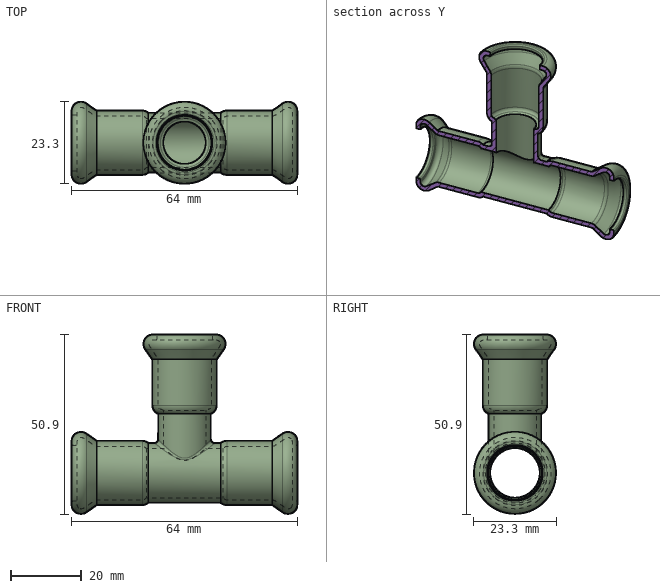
import cadquery as cq
import math

run_length = 64.0
branch_height = 39.2
run_tube_diameter = 17.0
run_bore_diameter = 14.0
branch_tube_diameter = 15.0
branch_bore_diameter = 12.0
junction_fillet = 1.0

socket_diameter = 18.3
socket_bore_diameter = 15.2
socket_depth = 20.0
bead_diameter = 23.3
bead_section_radius = 2.7
flare_depth = 7.1
groove_depth = 6.8
lip_bore_diameter = 15.8
lip_edge_fillet = 0.4
groove_fillet = 1.9
shoulder_radius = 2.7

socket_radius = socket_diameter / 2
socket_bore_radius = socket_bore_diameter / 2
lip_radius = lip_bore_diameter / 2
wall = socket_radius - socket_bore_radius
lip_thickness = wall

bead_center_radius = bead_diameter / 2 - bead_section_radius
bead_center_depth = bead_section_radius
groove_section_radius = bead_section_radius - wall


def tangent_normal_angle(section_radius, cone_end_radius, cone_end_depth):
    """Angle from the axis to the normal of a cone tangent to the bead round and ending at a point."""
    rise = cone_end_radius - bead_center_radius
    run = cone_end_depth - bead_center_depth
    return math.atan2(rise, run) + math.acos(section_radius / math.hypot(rise, run))


flare_normal = tangent_normal_angle(bead_section_radius, socket_radius, flare_depth)
groove_normal = tangent_normal_angle(groove_section_radius, socket_bore_radius, groove_depth)
groove_slope = math.pi / 2 - groove_normal

shoulder_center_radius = socket_radius - shoulder_radius
shoulder_inner_radius = shoulder_radius - wall


def round_point(center_radius, center_depth, section_radius, angle):
    """Point (radius, depth) on a section round; the angle turns from the depth axis outward."""
    return (
        center_radius + section_radius * math.sin(angle),
        center_depth + section_radius * math.cos(angle),
    )


def bead_point(section_radius, angle):
    """Point on the bead round or on the concentric groove round."""
    return round_point(bead_center_radius, bead_center_depth, section_radius, angle)


def bead_arc(section_radius, end_angle):
    """Middle and end of the bead round that starts at its mouth side."""
    mid_angle = (math.pi + end_angle) / 2
    return bead_point(section_radius, mid_angle), bead_point(section_radius, end_angle)


def shoulder_point(section_radius, angle):
    """Point on the outer or inner shoulder round."""
    return round_point(shoulder_center_radius, socket_depth, section_radius, angle)


def shoulder_arc(section_radius, end_angle):
    """Middle and end of the shoulder round that starts at the socket wall."""
    mid_angle = (math.pi / 2 + end_angle) / 2
    return shoulder_point(section_radius, mid_angle), shoulder_point(section_radius, end_angle)


def shoulder_end_angle(tube_radius):
    """Angle at which the outer shoulder round meets the tube."""
    return math.asin((tube_radius - shoulder_center_radius) / shoulder_radius)


def revolve_profile(profile):
    """Turn a closed (radius, depth) profile about the depth axis, mouth at Z = 0, depth along +Z."""
    return profile.close().revolve(360, (0, 0, 0), (0, 1, 0)).rotate((0, 0, 0), (1, 0, 0), 90)


def arm_body(tube_diameter, length):
    """Solid outside of one arm: bead, flare, socket, shoulder and tube."""
    tube_radius = tube_diameter / 2
    end_angle = shoulder_end_angle(tube_radius)
    profile = (
        cq.Workplane("XY")
        .moveTo(0, 0)
        .lineTo(bead_center_radius, 0)
        .threePointArc(*bead_arc(bead_section_radius, flare_normal))
        .lineTo(socket_radius, flare_depth)
        .lineTo(socket_radius, socket_depth)
        .threePointArc(*shoulder_arc(shoulder_radius, end_angle))
        .lineTo(tube_radius, length)
        .lineTo(0, length)
    )
    return revolve_profile(profile)


def arm_cavity(tube_diameter, bore_diameter, length):
    """Hollow of one arm: lip, seal groove, groove cone, socket bore, pipe stop and tube bore."""
    bore_radius = bore_diameter / 2
    lip_fillet_inset = lip_edge_fillet * (1 - math.sqrt(0.5))

    bore_fillet_end = groove_depth + groove_fillet * math.tan(groove_slope / 2)
    bore_fillet_center = socket_bore_radius + groove_fillet

    def bore_fillet_point(angle):
        return (
            bore_fillet_center - groove_fillet * math.cos(angle),
            bore_fillet_end - groove_fillet * math.sin(angle),
        )

    stop_angle = shoulder_end_angle(tube_diameter / 2)
    stop_radius, stop_depth = shoulder_point(shoulder_inner_radius, stop_angle)
    bore_start = stop_depth + (stop_radius - bore_radius) * math.tan(stop_angle)

    profile = (
        cq.Workplane("XY")
        .moveTo(0, 0)
        .lineTo(lip_radius + lip_edge_fillet, 0)
        .threePointArc(
            (lip_radius + lip_fillet_inset, lip_fillet_inset),
            (lip_radius, lip_edge_fillet),
        )
        .lineTo(lip_radius, lip_thickness - lip_edge_fillet)
        .threePointArc(
            (lip_radius + lip_fillet_inset, lip_thickness - lip_fillet_inset),
            (lip_radius + lip_edge_fillet, lip_thickness),
        )
        .lineTo(bead_center_radius, lip_thickness)
        .threePointArc(*bead_arc(groove_section_radius, groove_normal))
        .lineTo(*bore_fillet_point(groove_slope))
        .threePointArc(bore_fillet_point(groove_slope / 2), bore_fillet_point(0))
        .lineTo(socket_bore_radius, socket_depth)
        .threePointArc(*shoulder_arc(shoulder_inner_radius, stop_angle))
        .lineTo(bore_radius, bore_start)
        .lineTo(bore_radius, length)
        .lineTo(0, length)
    )
    return revolve_profile(profile)


def place_on_run(arm):
    """Lay an arm along -X and mirror it, so that mouths open at both ends of the run."""
    left = arm.rotate((0, 0, 0), (0, 1, 0), 90).translate((-run_length / 2, 0, 0))
    return left.union(left.mirror("YZ")).clean()


def place_on_branch(arm):
    """Stand an arm on the run axis with its mouth at the top of the branch."""
    return arm.rotate((0, 0, 0), (1, 0, 0), 180).translate((0, 0, branch_height))


def build_tee():
    """Join the run and the branch, round their saddle, then hollow all three arms."""
    run = place_on_run(arm_body(run_tube_diameter, run_length / 2))
    branch = place_on_branch(arm_body(branch_tube_diameter, branch_height))
    body = run.union(branch).edges("%BSPLINE").fillet(junction_fillet)

    run_cavity = place_on_run(arm_cavity(run_tube_diameter, run_bore_diameter, run_length / 2))
    branch_cavity = place_on_branch(
        arm_cavity(branch_tube_diameter, branch_bore_diameter, branch_height)
    )
    return body.cut(run_cavity).cut(branch_cavity)


result = build_tee()